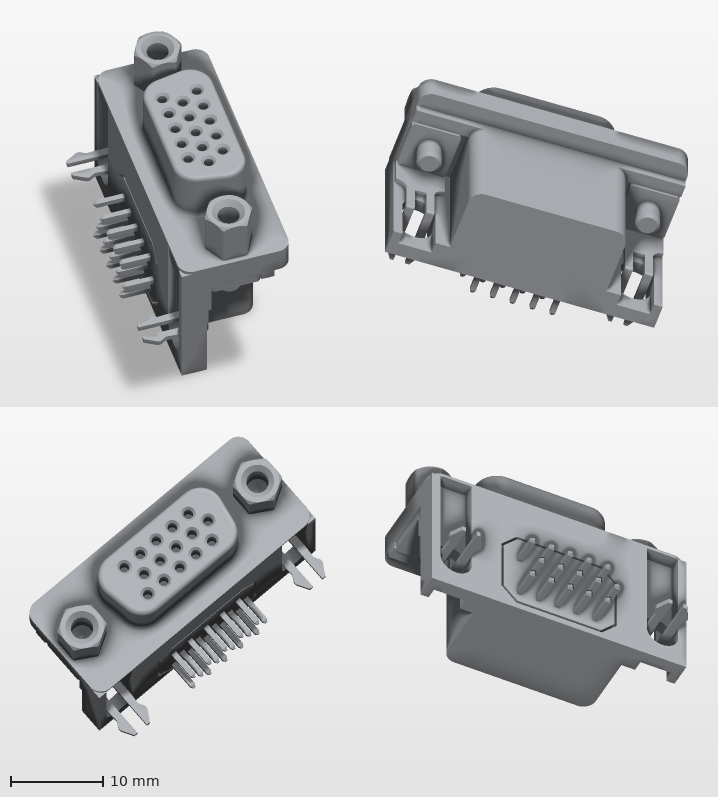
import cadquery as cq
import math


length = 30.8
flange_back = 12.6
plate_top = 16.42
plate_thickness = 0.4
flange_bottom = 13.53
corner_radius = 1.5
wall_thickness = 2.85
half_length = length / 2
plate_bottom = plate_top - plate_thickness

core_width = 17.93
core_back = 10.6
ledge_front = core_back - corner_radius
ledge_bottom = 12.57

station_x = 12.5
channel_width = 3.8
channel_depth = 1.55
channel_radius = channel_width / 2
slot_bottom = 2.13
slot_top = 7.33

groove_length = 14.0
groove_bottom = 0.77
groove_top = 10.78
groove_corner = 1.82
groove_width = 0.3
groove_depth = 0.62

shell_top = 22.2
shell_front = 2.37
shell_back = 10.32
shell_back_half_width = 8.7
shell_slant = 10.0
shell_corner = 2.6
shell_edge = 0.5

contact_pitch = 2.28
contacts_per_row = 5
outer_row_x = -0.25
middle_row_x = outer_row_x + contact_pitch / 2
row_centre_y = 6.3
socket_row_step = 1.97
socket_diameter = 1.05
socket_mouth_diameter = 1.6
socket_depth = 2.45
pin_row_centre_z = 5.0
pin_row_step = 2.53
pin_size = 0.62
pin_length = 3.48
pin_taper_length = 0.3
pin_tip_size = 0.25

jack_top = 21.47
jack_across_flats = 4.75
jack_diameter = 5.35
jack_chamfer = 0.3
jack_bore_diameter = 2.4
jack_mouth_diameter = 3.6
jack_bore_depth = 4.3
drill_point_angle = 118.0

sheet = 0.6
bracket_half_width = 2.8
bend_radius = 0.28
fork_bottom = 4.75
fork_root = 8.25
leg_inner = 0.68
leg_outer = 1.6
leg_neck = 1.5
barb_outer = 1.9
tip_outer = 1.1
barb_root_y = -1.32
barb_front_y = -2.03
barb_end_y = -2.37
tip_y = -3.75
fork_fillet = bracket_half_width - leg_outer
nut_thickness = 0.7
nut_corner = 0.3
stud_diameter = 2.75
stud_bottom = 9.65
stud_chamfer = 0.35


def box(x_min, x_max, y_min, y_max, z_min, z_max):
    size = (x_max - x_min, y_max - y_min, z_max - z_min)
    return cq.Workplane("XY").box(*size, centered=False).translate((x_min, y_min, z_min))


def row_positions(row):
    """X of each contact in a row; row is -1, 0 or 1."""
    middle = middle_row_x if row == 0 else outer_row_x
    first = middle - (contacts_per_row - 1) / 2 * contact_pitch
    return [first + i * contact_pitch for i in range(contacts_per_row)]


def bore(x, y, z_top, diameter, mouth_diameter, depth):
    """Blind flat-bottomed hole along -Z with a 45 degree mouth."""
    radius = diameter / 2
    mouth_radius = mouth_diameter / 2
    profile = [
        (0, 0),
        (mouth_radius, 0),
        (radius, radius - mouth_radius),
        (radius, -depth),
        (0, -depth),
    ]
    cutter = cq.Workplane("XZ").polyline(profile).close().revolve(360, (0, 0, 0), (0, 1, 0))
    return cutter.translate((x, y, z_top))


def make_housing():
    wall = box(-half_length, half_length, 0, wall_thickness, 0, plate_bottom)
    flange = box(-half_length, half_length, 0, flange_back, flange_bottom, plate_bottom)
    flange = flange.edges("|Z and >Y").fillet(corner_radius)
    plate = box(-half_length, half_length, 0, flange_back, plate_bottom, plate_top)
    plate = plate.edges("|Z").fillet(corner_radius)
    half_core = core_width / 2
    core = box(-half_core, half_core, 0, core_back, 0, flange_bottom)
    core = core.edges("|Z and >Y").fillet(corner_radius)
    ledge = box(-half_length, half_length, ledge_front, core_back, ledge_bottom, flange_bottom)
    return wall.union(flange).union(core).union(ledge).union(plate)


def channel_cutter(x):
    """Round-ended channel, the slot through the wall at its end and the open pocket behind it."""
    low_centre = slot_bottom + channel_radius
    channel = box(x - channel_radius, x + channel_radius, 0, channel_depth, low_centre, plate_bottom)
    slot = (
        cq.Workplane("XZ")
        .center(x, (slot_bottom + slot_top) / 2)
        .slot2D(slot_top - slot_bottom, channel_width, 90)
        .extrude(-wall_thickness)
    )
    rear_pocket = box(x - channel_radius, x + channel_radius, channel_depth, wall_thickness,
                      0, slot_top - channel_radius)
    return channel.union(slot).union(rear_pocket)


def make_groove():
    height = groove_top - groove_bottom
    middle_z = (groove_top + groove_bottom) / 2
    inner_corner = groove_corner - groove_width * (2 - math.sqrt(2))

    def octagon(inset, corner):
        plan = cq.Workplane("XZ").center(0, middle_z)
        plan = plan.rect(groove_length - 2 * inset, height - 2 * inset)
        return plan.extrude(-groove_depth).edges("|Y").chamfer(corner)

    return octagon(0, groove_corner).cut(octagon(groove_width, inner_corner))


def make_shell():
    taper = math.tan(math.radians(shell_slant))
    front_half_width = shell_back_half_width - (shell_back - shell_front) * taper
    outline = [
        (-front_half_width, shell_front),
        (front_half_width, shell_front),
        (shell_back_half_width, shell_back),
        (-shell_back_half_width, shell_back),
    ]
    plan = cq.Workplane("XY").workplane(offset=plate_top).polyline(outline).close()
    shell = plan.extrude(shell_top - plate_top)
    shell = shell.edges("not(#Z)").fillet(shell_corner)
    return shell.edges(">Z").fillet(shell_edge)


def add_shell_foot(body):
    """Concave flare where the shell wall meets the plate."""
    x_limit = shell_back_half_width + shell_edge
    foot = cq.selectors.BoxSelector(
        (-x_limit, shell_front - shell_edge, plate_top - plate_thickness / 2),
        (x_limit, shell_back + shell_edge, plate_top + plate_thickness / 2),
    )
    return body.edges(foot).fillet(shell_edge)


def make_pin(x, z):
    shank_length = pin_length - pin_taper_length
    shank = cq.Workplane("XZ").rect(pin_size, pin_size).extrude(shank_length)
    tip = (
        cq.Workplane("XZ", origin=(0, -shank_length, 0))
        .rect(pin_size, pin_size)
        .workplane(offset=pin_taper_length)
        .rect(pin_tip_size, pin_tip_size)
        .loft()
    )
    return shank.union(tip).translate((x, 0, z))


def make_jackscrew(x):
    height = jack_top - plate_top
    hexagon = (
        cq.Workplane("XY")
        .polygon(6, jack_across_flats / math.cos(math.radians(30)))
        .extrude(height)
        .rotate((0, 0, 0), (0, 0, 1), 30)
    )
    trim = cq.Workplane("XY").circle(jack_diameter / 2).extrude(height)
    trim = trim.faces(">Z").chamfer(jack_chamfer)
    return hexagon.intersect(trim).translate((x, row_centre_y, plate_top))


def jack_bore(x):
    straight = bore(x, row_centre_y, jack_top, jack_bore_diameter, jack_mouth_diameter, jack_bore_depth)
    radius = jack_bore_diameter / 2
    point_depth = radius / math.tan(math.radians(drill_point_angle / 2))
    cone = cq.Solid.makeCone(
        radius,
        0,
        point_depth,
        pnt=cq.Vector(x, row_centre_y, jack_top - jack_bore_depth),
        dir=cq.Vector(0, 0, -1),
    )
    return straight.union(cq.Workplane(obj=cone))


def make_bracket(x):
    """L-shaped sheet whose upright leg narrows to a fork bent out through the slot."""
    upright_back = wall_thickness + sheet
    top = box(-bracket_half_width, bracket_half_width, wall_thickness, ledge_front,
              flange_bottom - sheet, flange_bottom)
    full_width_z = fork_root + fork_fillet
    upright = (
        cq.Workplane("XZ", origin=(0, wall_thickness, 0))
        .moveTo(-leg_outer, fork_bottom)
        .lineTo(leg_outer, fork_bottom)
        .lineTo(leg_outer, fork_root)
        .radiusArc((bracket_half_width, full_width_z), fork_fillet)
        .lineTo(bracket_half_width, flange_bottom)
        .lineTo(-bracket_half_width, flange_bottom)
        .lineTo(-bracket_half_width, full_width_z)
        .radiusArc((-leg_outer, fork_root), fork_fillet)
        .close()
        .extrude(-sheet)
    )
    prong_outline = [
        (leg_inner, upright_back),
        (leg_outer, upright_back),
        (leg_outer, 0),
        (leg_neck, barb_root_y),
        (barb_outer, barb_front_y),
        (barb_outer, barb_end_y),
        (tip_outer, tip_y),
        (leg_inner, tip_y),
    ]
    prong = cq.Workplane("XY").workplane(offset=fork_bottom).polyline(prong_outline).close().extrude(sheet)
    gap = box(-leg_inner, leg_inner, wall_thickness, upright_back, fork_bottom, fork_root)
    bend = (
        upright.cut(gap).union(prong).union(prong.mirror("YZ"))
        .edges(cq.selectors.BoxSelector(
            (-leg_outer, upright_back - bend_radius, fork_bottom - bend_radius),
            (leg_outer, upright_back + bend_radius, fork_bottom + bend_radius),
        ))
        .edges("|X")
        .fillet(bend_radius)
    )
    return bend.union(top).translate((x, 0, 0))


def make_nut_and_stud(x):
    sheet_underside = flange_bottom - sheet
    nut_bottom = sheet_underside - nut_thickness
    nut = box(x - bracket_half_width, x + bracket_half_width, wall_thickness + sheet, ledge_front,
              nut_bottom, sheet_underside)
    nut = nut.edges("|Z").chamfer(nut_corner)
    stud = (
        cq.Workplane("XY", origin=(x, row_centre_y, stud_bottom))
        .circle(stud_diameter / 2)
        .extrude(nut_bottom - stud_bottom)
        .faces("<Z")
        .chamfer(stud_chamfer)
    )
    return nut.union(stud)


result = add_shell_foot(make_housing().union(make_shell())).cut(make_groove())

for side in (-1, 1):
    lock_x = side * station_x
    result = result.cut(channel_cutter(lock_x))
    result = result.union(make_bracket(lock_x)).union(make_nut_and_stud(lock_x))
    result = result.union(make_jackscrew(lock_x)).cut(jack_bore(lock_x))

for row in (-1, 0, 1):
    for contact_x in row_positions(row):
        socket_y = row_centre_y + row * socket_row_step
        pin_z = pin_row_centre_z + row * pin_row_step
        result = result.cut(
            bore(contact_x, socket_y, shell_top, socket_diameter, socket_mouth_diameter, socket_depth)
        )
        result = result.union(make_pin(contact_x, pin_z))